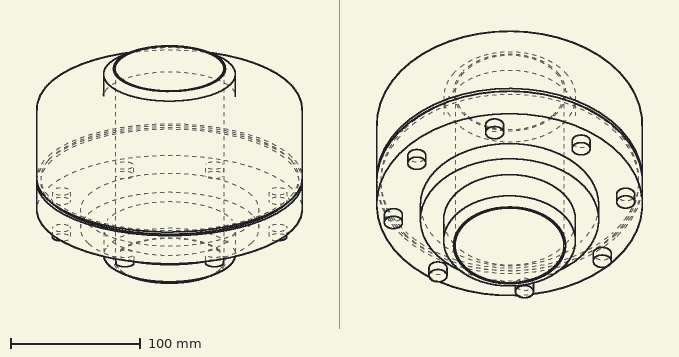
import cadquery as cq

body_diameter = 205.0
height = 162.0
bore_diameter = 84.0

pipe_diameter = 101.7
bevel_face_diameter = 86.5
bevel_height = 4.7

collar_bottom = 27.0
bolt_bottom = 35.0
flange_bottom = 43.0
groove_bottom = 66.6
groove_top = 69.7
body_top = 134.9

collar_diameter = 137.5
groove_diameter = 199.0
body_edge_radius = 8.0
neck_fillet_radius = 5.0

bolt_diameter = 14.0
bolt_circle_diameter = 180.6
bolt_count = 8


def disc(diameter, bottom, top):
    """Solid cylinder on the Z axis between two levels."""
    return cq.Workplane("XY").workplane(offset=bottom).circle(diameter / 2).extrude(top - bottom)


def beveled_pipe():
    """Full-height pipe blank with a bevel at both ends."""
    bevel_width = (pipe_diameter - bevel_face_diameter) / 2
    pipe = disc(pipe_diameter, 0, height)
    pipe = pipe.faces(">Z").chamfer(bevel_height, bevel_width)
    return pipe.faces("<Z").chamfer(bevel_height, bevel_width)


def neck_fillet():
    """Concave ring blending the upper pipe into the top of the body."""
    pipe_radius = pipe_diameter / 2
    outer_radius = pipe_radius + neck_fillet_radius
    fillet_top = body_top + neck_fillet_radius
    return (
        cq.Workplane("XZ")
        .moveTo(0, body_top)
        .lineTo(outer_radius, body_top)
        .radiusArc((pipe_radius, fillet_top), neck_fillet_radius)
        .lineTo(0, fillet_top)
        .close()
        .revolve(360, (0, 0, 0), (0, 1, 0))
    )


def bolt_heads():
    """Ring of round bolt heads hanging below the flange."""
    return (
        cq.Workplane("XY")
        .workplane(offset=bolt_bottom)
        .polarArray(bolt_circle_diameter / 2, 0, 360, bolt_count)
        .circle(bolt_diameter / 2)
        .extrude(flange_bottom - bolt_bottom)
    )


flange = disc(body_diameter, flange_bottom, groove_bottom)
groove_core = disc(groove_diameter, groove_bottom, groove_top)
body = disc(body_diameter, groove_top, body_top).faces(">Z").edges().fillet(body_edge_radius)
collar = disc(collar_diameter, collar_bottom, flange_bottom)

result = (
    flange.union(groove_core)
    .union(body)
    .union(collar)
    .union(neck_fillet())
    .union(beveled_pipe())
    .union(bolt_heads())
    .cut(disc(bore_diameter, 0, height))
)